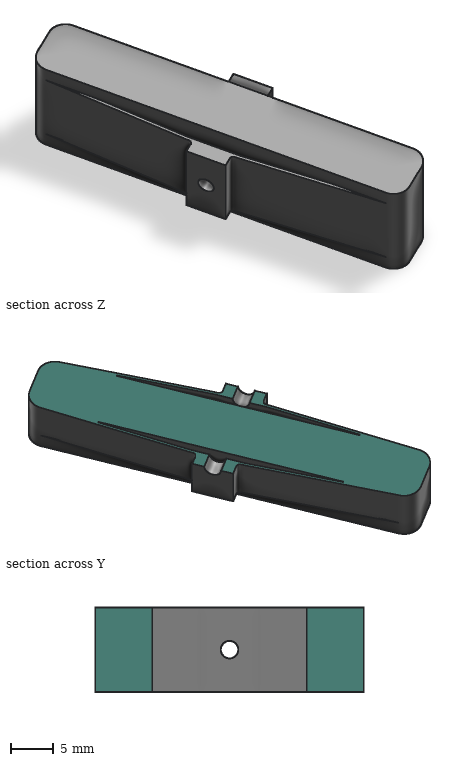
import cadquery as cq

bar_length = 48.79
bar_width = 7.53
bar_height = 14.0
corner_radius = 2.15

overall_width = 13.14
spring_height = 10.06
leaf_thickness = 0.42
leaf_outer_y = 4.92
leaf_flat_half_length = 3.45
leaf_end_x = bar_length / 2 - corner_radius

pad_length = 5.14
pad_fillet_radius = 0.45
pad_hole_diameter = 2.05

bar_side_y = bar_width / 2
pad_face_y = overall_width / 2
leaf_inner_y = leaf_outer_y - leaf_thickness
leaf_slope = (leaf_outer_y - bar_side_y) / (leaf_end_x - leaf_flat_half_length)
leaf_contact_x = leaf_flat_half_length + (leaf_inner_y - bar_side_y) / leaf_slope


def make_bar():
    bar = cq.Workplane("XY").box(bar_length, bar_width, bar_height)
    return bar.edges("|Z").fillet(corner_radius)


def make_spring():
    """Spring on the +Y side: a thin bowed leaf whose ends lie on the bar, with a drilled pad."""
    pad_half = pad_length / 2
    fillet_end_x = pad_half + pad_fillet_radius
    fillet_start_y = leaf_outer_y + pad_fillet_radius
    spring = (
        cq.Workplane("XY", origin=(0, 0, -spring_height / 2))
        .moveTo(-leaf_end_x, bar_side_y)
        .lineTo(-leaf_flat_half_length, leaf_outer_y)
        .lineTo(-fillet_end_x, leaf_outer_y)
        .radiusArc((-pad_half, fillet_start_y), -pad_fillet_radius)
        .lineTo(-pad_half, pad_face_y)
        .lineTo(pad_half, pad_face_y)
        .lineTo(pad_half, fillet_start_y)
        .radiusArc((fillet_end_x, leaf_outer_y), -pad_fillet_radius)
        .lineTo(leaf_flat_half_length, leaf_outer_y)
        .lineTo(leaf_end_x, bar_side_y)
        .lineTo(leaf_contact_x, bar_side_y)
        .lineTo(leaf_flat_half_length, leaf_inner_y)
        .lineTo(-leaf_flat_half_length, leaf_inner_y)
        .lineTo(-leaf_contact_x, bar_side_y)
        .close()
        .extrude(spring_height)
    )
    hole_depth = pad_face_y - leaf_inner_y
    hole = (
        cq.Workplane("XZ", origin=(0, pad_face_y, 0))
        .circle(pad_hole_diameter / 2)
        .extrude(hole_depth)
    )
    return spring.cut(hole)


back_spring = make_spring()
front_spring = back_spring.mirror("XZ")
result = make_bar().union(back_spring).union(front_spring)